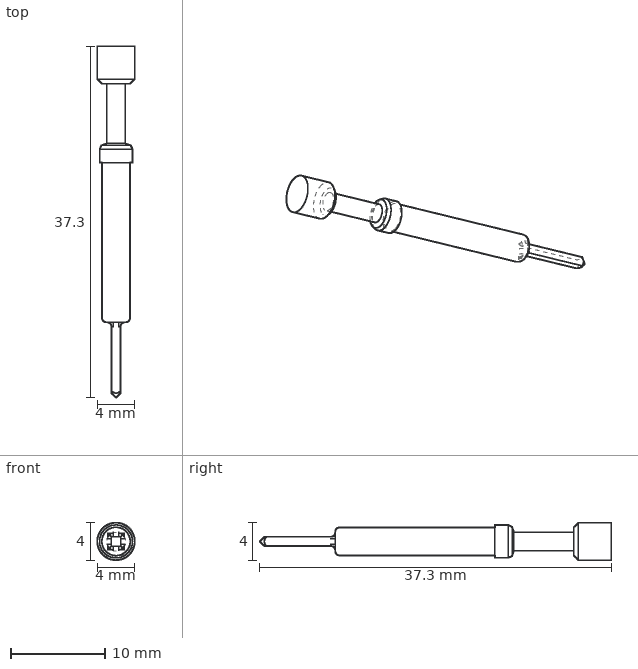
import cadquery as cq
import math

OVERALL_LENGTH = 37.3
SEAT_TO_HEAD_END = 12.35

HEAD_DIAMETER = 4.0
HEAD_LENGTH = 4.0
HEAD_CHAMFER = 0.5
PLUNGER_DIAMETER = 2.0

COLLAR_DIAMETER = 3.5
COLLAR_STRAIGHT_LENGTH = 1.4
COLLAR_CROWN_LENGTH = 0.42
COLLAR_CROWN_DIAMETER = 3.1
COLLAR_CROWN_BULGE = 0.02
COLLAR_CONE_LENGTH = 0.2

BARREL_DIAMETER = 3.0
BARREL_ROUND = 0.5

TAIL_LENGTH = 8.0
TAIL_WIDTH = 1.0
TAIL_TIP_HALF_ANGLE = 45.0
FLARE_RADIUS = 0.38
PAD_RADIUS = 0.45
PAD_WIDTH = 0.6

head_end_y = SEAT_TO_HEAD_END
head_base_y = head_end_y - HEAD_LENGTH
tip_y = head_end_y - OVERALL_LENGTH
barrel_end_y = tip_y + TAIL_LENGTH

ROUND_MID = 1 - math.sqrt(0.5)


def revolve(profile):
    """Close a (radius, Y) profile and turn it about the Y axis."""
    return profile.close().revolve(360, (0, 0, 0), (0, 1, 0))


def make_head():
    """Cylindrical head, chamfered on the side of the plunger."""
    radius = HEAD_DIAMETER / 2
    return revolve(
        cq.Workplane("XY")
        .moveTo(0, head_end_y)
        .lineTo(radius, head_end_y)
        .lineTo(radius, head_base_y + HEAD_CHAMFER)
        .lineTo(radius - HEAD_CHAMFER, head_base_y)
        .lineTo(0, head_base_y)
    )


def make_plunger():
    """Round shaft from the collar's seat up to the head."""
    return (
        cq.Workplane("XZ", origin=(0, head_base_y, 0))
        .circle(PLUNGER_DIAMETER / 2)
        .extrude(head_base_y)
    )


def make_collar():
    """Collar with a slightly bulged crown and a flat cone that meets the plunger."""
    radius = COLLAR_DIAMETER / 2
    crown_radius = COLLAR_CROWN_DIAMETER / 2
    plunger_radius = PLUNGER_DIAMETER / 2
    crown_y = COLLAR_STRAIGHT_LENGTH + COLLAR_CROWN_LENGTH
    cone_end_y = crown_y + COLLAR_CONE_LENGTH
    crown_mid = (
        (radius + crown_radius) / 2 + COLLAR_CROWN_BULGE,
        COLLAR_STRAIGHT_LENGTH + COLLAR_CROWN_LENGTH / 2,
    )
    return revolve(
        cq.Workplane("XY")
        .moveTo(0, 0)
        .lineTo(radius, 0)
        .lineTo(radius, COLLAR_STRAIGHT_LENGTH)
        .threePointArc(crown_mid, (crown_radius, crown_y))
        .lineTo(plunger_radius, cone_end_y)
        .lineTo(0, cone_end_y)
    )


def make_barrel():
    """Cylindrical barrel below the collar, rounded at its lower end."""
    radius = BARREL_DIAMETER / 2
    mid = BARREL_ROUND * ROUND_MID
    return revolve(
        cq.Workplane("XY")
        .moveTo(0, 0)
        .lineTo(radius, 0)
        .lineTo(radius, barrel_end_y + BARREL_ROUND)
        .threePointArc(
            (radius - mid, barrel_end_y + mid),
            (radius - BARREL_ROUND, barrel_end_y),
        )
        .lineTo(0, barrel_end_y)
    )


def make_tail():
    """Square tail cut to a conical point."""
    bar = (
        cq.Workplane("XZ", origin=(0, barrel_end_y, 0))
        .rect(TAIL_WIDTH, TAIL_WIDTH)
        .extrude(TAIL_LENGTH)
    )
    cone_radius = TAIL_LENGTH * math.tan(math.radians(TAIL_TIP_HALF_ANGLE))
    cone = revolve(
        cq.Workplane("XY")
        .moveTo(0, barrel_end_y)
        .lineTo(cone_radius, barrel_end_y)
        .lineTo(0, tip_y)
    )
    return bar.intersect(cone)


def make_flare_prism(radius, width):
    """Tail-wide block that widens in X to the barrel's end by a hollow rounding on each side."""
    half = TAIL_WIDTH / 2
    mid = radius * ROUND_MID
    return (
        cq.Workplane("XY")
        .moveTo(-half - radius, barrel_end_y)
        .threePointArc((-half - mid, barrel_end_y - mid), (-half, barrel_end_y - radius))
        .lineTo(half, barrel_end_y - radius)
        .threePointArc((half + mid, barrel_end_y - mid), (half + radius, barrel_end_y))
        .close()
        .extrude(width / 2, both=True)
    )


def turn_quarter(solid):
    """Turn a solid by a quarter about the Y axis."""
    return solid.rotate((0, 0, 0), (0, 1, 0), 90)


def make_flare():
    """Mitred hollow flare around the tail's root, with a raised pad in the middle of each side."""
    flare_width = TAIL_WIDTH + 2 * FLARE_RADIUS
    side_flare = make_flare_prism(FLARE_RADIUS, flare_width)
    mitred_flare = side_flare.intersect(turn_quarter(side_flare))
    pads = make_flare_prism(PAD_RADIUS, PAD_WIDTH)
    return mitred_flare.union(pads).union(turn_quarter(pads))


result = (
    make_head()
    .union(make_plunger())
    .union(make_collar())
    .union(make_barrel())
    .union(make_tail())
    .union(make_flare())
)